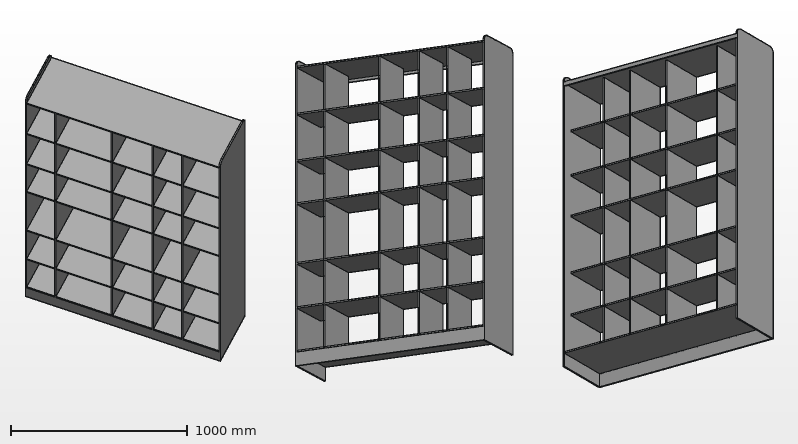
import cadquery as cq

width = 1200.0
depth = 360
height = 1800

inner_depth = 295.0
board = 9.0
side_corner_radius = 36
plinth_height = 81.0
bottom_shelf_set_back = 2.0
top_surface = 1762.0
rail_height = 16.0

upright_centres = [-415.0, -67.0, 184.0, 365.0]
shelf_centres = [342, 603.0, 954, 1206, 1481.0]

inner_width = width - 2 * board
front = -depth / 2
back = depth / 2
top_underside = top_surface - board


def box(size_x, size_y, size_z, centre_x, front_y, bottom_z):
    """Box placed by its X centre, front face and underside."""
    block = cq.Workplane("XY").box(size_x, size_y, size_z, centered=(True, False, False))
    return block.translate((centre_x, front_y, bottom_z))


def side_panel(centre_x):
    """Full-height panel with both upper corners rounded."""
    panel = box(board, depth, height, centre_x, front, 0)
    return panel.edges("|X and >Z").fillet(side_corner_radius)


def shelf(bottom_z, shelf_depth, front_y=front):
    """Shelf spanning between the side panels."""
    return box(inner_width, shelf_depth, board, 0, front_y, bottom_z)


def upright(centre_x):
    """Divider, as deep as the middle shelves, from the plinth to the top."""
    return box(board, inner_depth, top_surface - plinth_height, centre_x, front, plinth_height)


result = box(width, board, plinth_height, 0, front, 0)

for side in (-1, 1):
    result = result.union(side_panel(side * (width - board) / 2))

result = result.union(shelf(plinth_height, depth - bottom_shelf_set_back, front + bottom_shelf_set_back))
for centre_z in shelf_centres:
    result = result.union(shelf(centre_z - board / 2, inner_depth))
result = result.union(shelf(top_underside, depth))

for centre_x in upright_centres:
    result = result.union(upright(centre_x))

rail = box(inner_width, board, rail_height, 0, back - board, top_underside - rail_height)
result = result.union(rail)